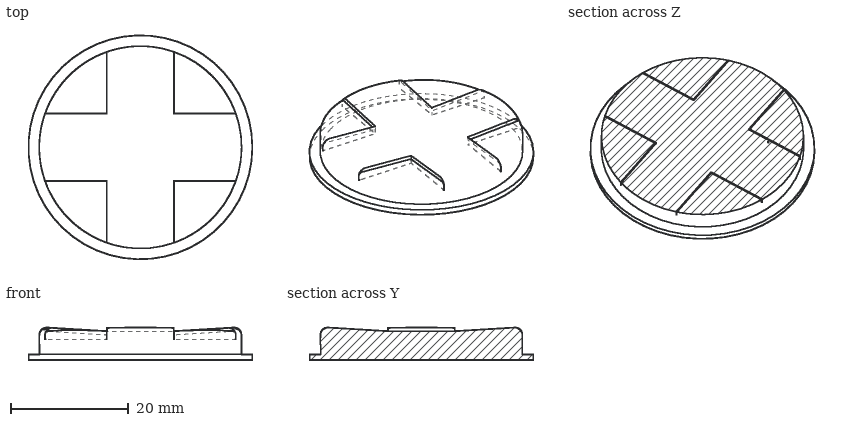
import cadquery as cq
import math

flange_diameter = 38.1
flange_height = 1.0
button_radius = 34.4 / 2

cross_half_width = 5.68
centre_height = 4.95
arm_slope = math.tan(math.radians(3.5))
arm_fillet = 1.3

tile_floor = 3.55
tile_gap = 0.08
tile_start = cross_half_width + tile_gap
tile_inner_height = 4.35
tile_slope = math.tan(math.radians(5))
tile_fillet = 0.55

quarter_turns = (0, 90, 180, 270)


def turned(shape, angle):
    """Turn a shape about the vertical axis of the button."""
    return shape.rotate((0, 0, 0), (0, 0, 1), angle)


def sloped_blank(start, half_width, floor, inner_height, slope):
    """Wedge along +X whose top rises from its inner end, past the button rim."""
    end = flange_diameter / 2
    outer_height = inner_height + slope * (end - start)
    profile = [(start, floor), (end, floor), (end, outer_height), (start, inner_height)]
    return (
        cq.Workplane("XZ", origin=(0, half_width, 0))
        .polyline(profile)
        .close()
        .extrude(2 * half_width)
    )


def rounded_button(sloped_top, fillet):
    """Trim a sloped blank to the button circle and round its upper rim."""
    button = cq.Workplane("XY").circle(button_radius).extrude(flange_diameter)
    trimmed = button.intersect(sloped_top)
    return trimmed.faces(">X").edges(">Z").fillet(fillet)


def cross_arm():
    blank = sloped_blank(cross_half_width, cross_half_width, 0, centre_height, arm_slope)
    return rounded_button(blank, arm_fillet)


def corner_tile():
    """Pad in the +X +Y corner; its slope is laid out along +X, then turned 45 degrees."""
    inner_distance = tile_start * math.sqrt(2)
    blank = sloped_blank(inner_distance, button_radius, tile_floor, tile_inner_height, tile_slope)
    tile = rounded_button(blank, tile_fillet)
    quadrant = (
        cq.Workplane("XY", origin=(tile_start, tile_start, 0))
        .rect(flange_diameter, flange_diameter, centered=False)
        .extrude(flange_diameter)
    )
    return turned(tile, 45).intersect(quadrant)


result = cq.Workplane("XY").circle(flange_diameter / 2).extrude(flange_height)
result = result.union(cq.Workplane("XY").circle(button_radius).extrude(tile_floor))
centre_side = 2 * cross_half_width
result = result.union(cq.Workplane("XY").rect(centre_side, centre_side).extrude(centre_height))
for angle in quarter_turns:
    result = result.union(turned(cross_arm(), angle))
    result = result.union(turned(corner_tile(), angle))